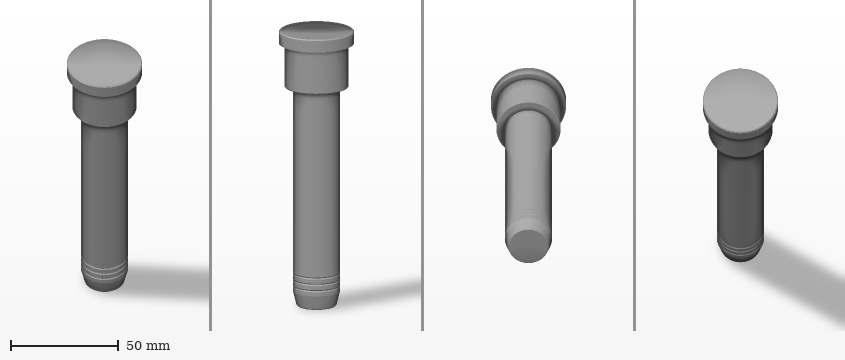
import cadquery as cq

total_length = 132.0
head_diameter = 35.0
head_thickness = 6.1
head_chamfer = 0.5
collar_diameter = 30.0
collar_length = 20.9
collar_chamfer = 0.4
pin_diameter = 22.0

neck_depth = 0.4
neck_height = 0.5
shoulder_inset = 0.8
shoulder_height = 1.0
tip_diameter = 18.7
tip_length = 7.0
tip_chamfer = 0.4

groove_count = 3
groove_pitch = 3.0
groove_height = 1.0
groove_depth = 0.5
lowest_groove_z = 9.5

head_bottom = total_length - head_thickness
collar_bottom = head_bottom - collar_length
pin_radius = pin_diameter / 2


def cylinder(diameter, bottom, height):
    return cq.Workplane("XY").workplane(offset=bottom).circle(diameter / 2).extrude(height)


def make_head():
    return cylinder(head_diameter, head_bottom, head_thickness).faces(">Z").edges().chamfer(head_chamfer)


def make_collar():
    """Collar with a broken lower edge and a narrow tapered neck under the head."""
    radius = collar_diameter / 2
    neck_radius = radius - neck_depth
    profile = (
        cq.Workplane("XZ")
        .moveTo(0, collar_bottom)
        .lineTo(radius - collar_chamfer, collar_bottom)
        .lineTo(radius, collar_bottom + collar_chamfer)
        .lineTo(radius, head_bottom - neck_height - neck_depth)
        .lineTo(neck_radius, head_bottom - neck_height)
        .lineTo(neck_radius, head_bottom)
        .lineTo(0, head_bottom)
        .close()
    )
    return profile.revolve(360, (0, 0, 0), (0, 1, 0))


def make_pin():
    """Pin with a tapered tip and a slight taper just below the collar."""
    tip_radius = tip_diameter / 2
    profile = (
        cq.Workplane("XZ")
        .lineTo(tip_radius - tip_chamfer, 0)
        .lineTo(tip_radius, tip_chamfer)
        .lineTo(pin_radius, tip_length)
        .lineTo(pin_radius, collar_bottom - shoulder_height)
        .lineTo(pin_radius - shoulder_inset, collar_bottom)
        .lineTo(0, collar_bottom)
        .close()
    )
    return profile.revolve(360, (0, 0, 0), (0, 1, 0))


def make_groove(center_z):
    """Ring-shaped cutter with a V section, deepest at center_z."""
    half_height = groove_height / 2
    profile = (
        cq.Workplane("XZ")
        .moveTo(pin_radius, center_z - half_height)
        .lineTo(pin_radius, center_z + half_height)
        .lineTo(pin_radius - groove_depth, center_z)
        .close()
    )
    return profile.revolve(360, (0, 0, 0), (0, 1, 0))


result = make_head().union(make_collar()).union(make_pin())
for index in range(groove_count):
    result = result.cut(make_groove(lowest_groove_z + index * groove_pitch))